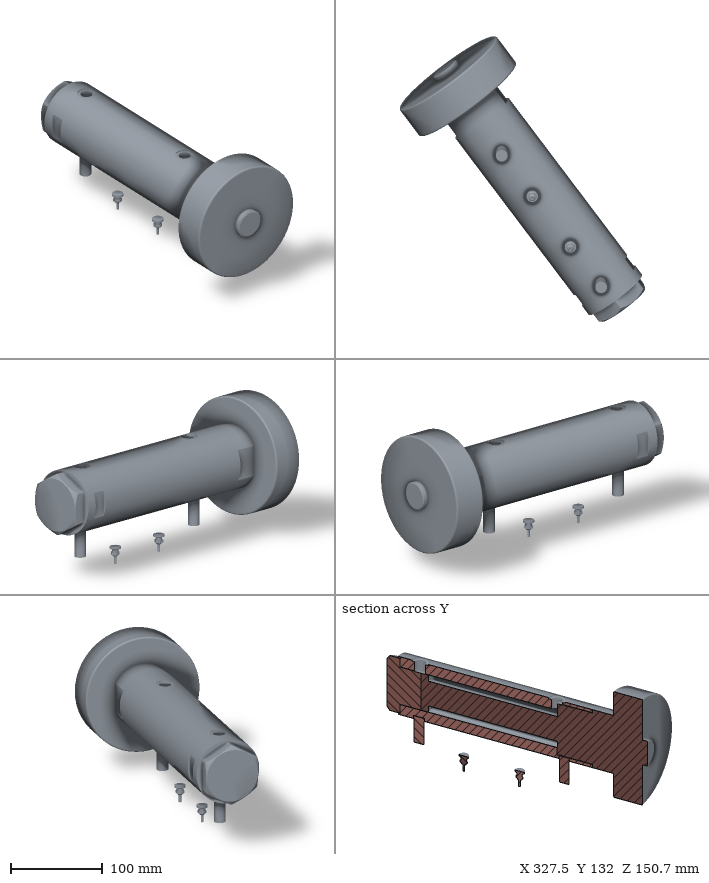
import cadquery as cq
import math


flange_start = 14.5
flange_width = 2.0
housing_start = flange_start + flange_width
housing_end = 257.5
wheel_start = 283.3
wheel_end = 320.3
stub_end = 326.5
overall_length = 327.5

body_diameter = 72.7
body_radius = body_diameter / 2
flat_start = 26.2
flat_end = 42.0
flat_half_width = 33.5

port_positions = [42.0, 213.0]
port_radius = 6.5
spotface_radius = 10.0
spotface_depth = 1.3

bore_radius = 23.0

hex_across_flats = 60.3
hex_turned_radius = 34.5
hex_face_radius = 29.5
hex_chamfer_length = 4.0
spigot_end = 43.0

piston_length = 9.8
rod_radius = 15.7
gland_start = port_positions[1]
gland_radius = 31.8
neck_across_flats = 64.2
wheel_diameter = 132.0
wheel_fillet = 2.0
stub_chamfer_length = 1.0
stub_chamfer_depth = 1.5
pip_radius = 0.5
pip_y = -4.5
pip_z = 12.5

peg_positions = [40.3, 221.7]
peg_diameter = 12.8
peg_radius = peg_diameter / 2
peg_bottom = -65.5
peg_top = -32.8

nipple_positions = [96.3, 166.0]
nipple_top = -65.2
nipple_height = 19.5
nipple_disc_radius = 6.2
nipple_disc_height = 2.3
nipple_shoulder_radius = 5.2
nipple_shoulder_height = 1.3
nipple_neck_radius = 3.5
nipple_neck_height = 2.5
nipple_hex_across_corners = 9.8
nipple_hex_height = 3.0
nipple_taper_height = 2.0
nipple_taper_start_radius = 4.0
nipple_taper_end_radius = 2.3
nipple_stem_radius = 1.38


def x_cylinder(radius, start, end):
    """Cylinder on the X axis between two stations."""
    return cq.Workplane("YZ", origin=(start, 0, 0)).circle(radius).extrude(end - start)


def z_cylinder(x, radius, bottom, top):
    """Vertical cylinder on the XZ plane."""
    return cq.Workplane("XY", origin=(x, 0, bottom)).circle(radius).extrude(top - bottom)


def slab_between_flats(start, end, across_flats):
    """Block on the X axis, across_flats wide in Y and as tall as the body."""
    return cq.Workplane("XY").box(
        end - start, across_flats, body_diameter, centered=(False, True, True)
    ).translate((start, 0, 0))


def make_housing():
    housing = x_cylinder(body_radius, housing_start, housing_end)

    flat_band = x_cylinder(body_radius, flat_start, flat_end)
    flat_band = flat_band.cut(slab_between_flats(flat_start, flat_end, 2 * flat_half_width))
    housing = housing.cut(flat_band)

    housing = housing.cut(x_cylinder(bore_radius, housing_start, gland_start))
    housing = housing.cut(x_cylinder(gland_radius, gland_start, housing_end))

    for x in port_positions:
        housing = housing.cut(z_cylinder(x, port_radius, 0, body_radius))
        housing = housing.cut(z_cylinder(x, spotface_radius, body_radius - spotface_depth, body_radius))

    for x in peg_positions:
        housing = housing.cut(z_cylinder(x, peg_radius, -body_radius, peg_top))
    return housing


def make_cap():
    hex_across_corners = hex_across_flats / math.cos(math.pi / 6)
    hexagon = (
        cq.Workplane("YZ")
        .transformed(rotate=(0, 0, 90))
        .polygon(6, hex_across_corners)
        .extrude(flange_start)
    )
    turned_blank = (
        cq.Workplane("XY")
        .moveTo(0, 0)
        .lineTo(0, hex_face_radius)
        .lineTo(hex_chamfer_length, hex_turned_radius)
        .lineTo(flange_start, hex_turned_radius)
        .lineTo(flange_start, 0)
        .close()
        .revolve(360, (0, 0, 0), (1, 0, 0))
    )
    flange = x_cylinder(body_radius, flange_start, housing_start)
    spigot = x_cylinder(bore_radius, housing_start, spigot_end)
    return hexagon.intersect(turned_blank).union(flange).union(spigot)


def make_head():
    piston = x_cylinder(bore_radius, spigot_end, spigot_end + piston_length)
    rod = x_cylinder(rod_radius, spigot_end, gland_start)
    gland = x_cylinder(gland_radius, gland_start, housing_end)

    neck = x_cylinder(body_radius, housing_end, wheel_start)
    neck = neck.intersect(slab_between_flats(housing_end, wheel_start, neck_across_flats))

    wheel = x_cylinder(wheel_diameter / 2, wheel_start, wheel_end).edges().fillet(wheel_fillet)

    stub = x_cylinder(rod_radius, wheel_end, stub_end)
    stub = stub.faces(">X").chamfer(stub_chamfer_length, stub_chamfer_depth)
    pip = x_cylinder(pip_radius, stub_end, overall_length).translate((0, pip_y, pip_z))

    return piston.union(rod).union(gland).union(neck).union(wheel).union(stub).union(pip)


def make_peg(x):
    return z_cylinder(x, peg_radius, peg_bottom, peg_top)


def make_nipple(x):
    disc_bottom = nipple_top - nipple_disc_height
    shoulder_bottom = disc_bottom - nipple_shoulder_height
    hex_top = shoulder_bottom - nipple_neck_height
    hex_bottom = hex_top - nipple_hex_height
    taper_bottom = hex_bottom - nipple_taper_height
    stem_bottom = nipple_top - nipple_height

    turned = (
        cq.Workplane("XZ")
        .moveTo(0, nipple_top)
        .lineTo(nipple_disc_radius, nipple_top)
        .lineTo(nipple_disc_radius, disc_bottom)
        .lineTo(nipple_shoulder_radius, disc_bottom)
        .lineTo(nipple_neck_radius, shoulder_bottom)
        .lineTo(nipple_neck_radius, hex_bottom)
        .lineTo(nipple_taper_start_radius, hex_bottom)
        .lineTo(nipple_taper_end_radius, taper_bottom)
        .lineTo(nipple_stem_radius, taper_bottom)
        .lineTo(nipple_stem_radius, stem_bottom)
        .lineTo(0, stem_bottom)
        .close()
        .revolve(360, (0, 0, 0), (0, 1, 0))
    )
    hexagon = (
        cq.Workplane("XY", origin=(0, 0, hex_bottom))
        .polygon(6, nipple_hex_across_corners)
        .extrude(nipple_hex_height)
    )
    return turned.union(hexagon).translate((x, 0, 0))


housing = make_housing()
cap = make_cap()
head = make_head()
pegs = [make_peg(x) for x in peg_positions]
nipples = [make_nipple(x) for x in nipple_positions]

result = cq.Compound.makeCompound(
    [
        housing.val(),
        cap.val(),
        head.val(),
        *[peg.val() for peg in pegs],
        *[nipple.val() for nipple in nipples],
    ]
)